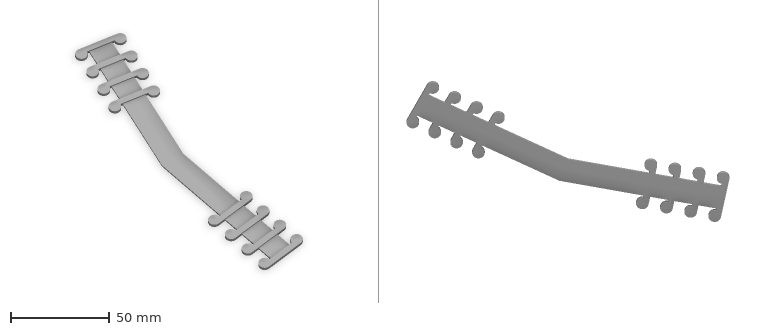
import cadquery as cq
import math

ARM_ANGLE = 8.0
STRAP_WIDTH = 13.0
STRAP_THICKNESS = 1.0

BAR_THICKNESS = 1.9
BAR_WIDTH = 3.2
HEAD_RADIUS = 3.2
HEAD_SPACING = 22.1
BAR_COUNT = 4
BAR_PITCH = 12.5

OVERALL_LENGTH = 169.0
TILT = math.radians(ARM_ANGLE)
OUTER_HEAD_ALONG_ARM = (
    OVERALL_LENGTH / 2 - HEAD_RADIUS - HEAD_SPACING / 2 * math.sin(TILT)
) / math.cos(TILT)
OUTER_BAR_EDGE = OUTER_HEAD_ALONG_ARM + HEAD_RADIUS
STRAP_END = OUTER_BAR_EDGE - BAR_WIDTH / 2


def strap_arm():
    """Half of the strap, running from the bend along +X and tilted up, cut off at X = 0."""
    arm = (
        cq.Workplane("XY")
        .rect(2 * STRAP_END, STRAP_WIDTH)
        .extrude(STRAP_THICKNESS)
        .rotate((0, 0, 0), (0, 0, 1), ARM_ANGLE)
    )
    right_of_bend = cq.Workplane("XY").box(
        OVERALL_LENGTH, OVERALL_LENGTH, STRAP_THICKNESS, centered=(False, True, False)
    )
    return arm.intersect(right_of_bend)


def crossbar(outer_edge):
    """One bar across the arm; both heads are tangent to its outer edge and bulge inward."""
    bar = (
        cq.Workplane("XY")
        .center(outer_edge - BAR_WIDTH / 2, 0)
        .rect(BAR_WIDTH, HEAD_SPACING)
        .extrude(BAR_THICKNESS)
    )
    heads = (
        cq.Workplane("XY")
        .center(outer_edge - HEAD_RADIUS, 0)
        .pushPoints([(0, HEAD_SPACING / 2), (0, -HEAD_SPACING / 2)])
        .circle(HEAD_RADIUS)
        .extrude(BAR_THICKNESS)
    )
    return bar.union(heads).rotate((0, 0, 0), (0, 0, 1), ARM_ANGLE)


right_side = strap_arm()
for index in range(BAR_COUNT):
    right_side = right_side.union(crossbar(OUTER_BAR_EDGE - index * BAR_PITCH))

result = right_side.union(right_side.mirror("YZ"))